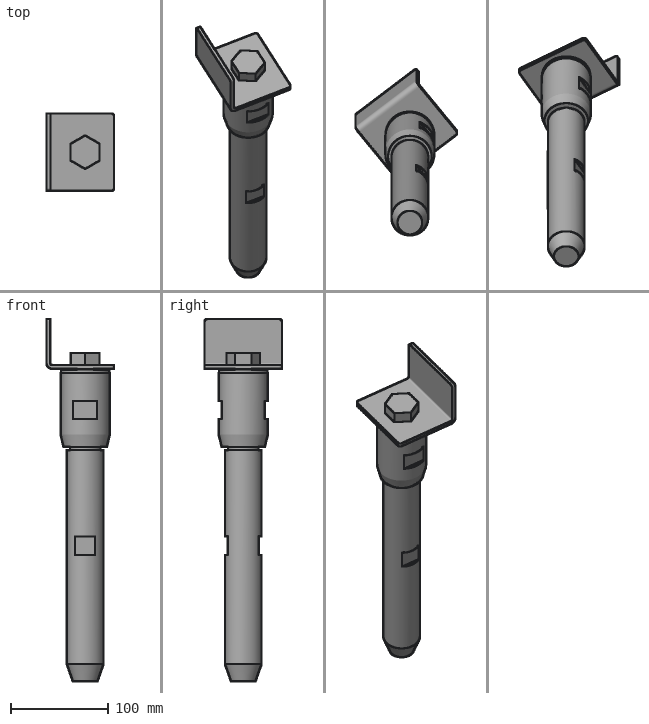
import cadquery as cq

total_height = 373.3
bracket_bottom = 321.8
washer_gap = 0.7
washer_thickness = 3.5
sleeve_bottom = 241.5
rod_top = 238.0

bracket_length = 69.8
bracket_width = 80.0
sheet_thickness = 4.0
bend_inner_radius = 2.0
corner_radius = 3.0
axis_to_flange = 40.0

head_across_flats = 30.0
head_height = 12.5
bolt_diameter = 18.3
bolt_depth_in_rod = 37.5

washer_diameter = 50.0
spacer_diameter = 31.7

sleeve_diameter = 50.8
sleeve_end_diameter = 44.8
sleeve_taper_height = 12.5
sleeve_across_flats = 44.5
sleeve_flat_bottom = 270.3
sleeve_flat_height = 18.3

rod_diameter = 38.0
rod_tip_diameter = 25.5
rod_taper_height = 18.0
rod_across_flats = 32.0
rod_flat_bottom = 130.3
rod_flat_height = 19.0

bracket_top = bracket_bottom + sheet_thickness
washer_top = bracket_bottom - washer_gap
sleeve_top = washer_top - washer_thickness
bolt_bottom = rod_top - bolt_depth_in_rod


def cylinder(diameter, bottom, top):
    """Vertical cylinder on the common axis."""
    return cq.Workplane("XY").workplane(offset=bottom).circle(diameter / 2).extrude(top - bottom)


def tapered_cylinder(diameter, end_diameter, taper_height, bottom, top):
    """Vertical cylinder that narrows to end_diameter at its lower end."""
    half_profile = [
        (0, bottom),
        (end_diameter / 2, bottom),
        (diameter / 2, bottom + taper_height),
        (diameter / 2, top),
        (0, top),
    ]
    return cq.Workplane("XZ").polyline(half_profile).close().revolve(360, (0, 0, 0), (0, 1, 0))


def cut_wrench_flats(body, diameter, across_flats, bottom, height):
    """Cut two parallel flats, facing -Y and +Y, into a round body."""
    for side in (-1, 1):
        cutter = cq.Workplane("XY").box(diameter, diameter, height, centered=(True, True, False))
        body = body.cut(cutter.translate((0, side * (across_flats + diameter) / 2, bottom)))
    return body


bolt_shank = cylinder(bolt_diameter, bolt_bottom, bracket_top)


def make_bracket():
    left = -axis_to_flange
    base = cq.Workplane("XY").box(bracket_length, bracket_width, sheet_thickness, centered=(False, True, False))
    flange_height = total_height - bracket_bottom
    flange = cq.Workplane("XY").box(sheet_thickness, bracket_width, flange_height, centered=(False, True, False))
    bracket = base.union(flange).translate((left, 0, bracket_bottom))

    inner_corner = cq.selectors.NearestToPointSelector((left + sheet_thickness, 0, bracket_top))
    bracket = bracket.edges(inner_corner).fillet(bend_inner_radius)
    outer_corner = cq.selectors.NearestToPointSelector((left, 0, bracket_bottom))
    bracket = bracket.edges(outer_corner).fillet(bend_inner_radius + sheet_thickness)

    bracket = bracket.faces(">Z").edges("|X").fillet(corner_radius)
    bracket = bracket.faces(">X").edges("|Z").fillet(corner_radius)
    return bracket.cut(bolt_shank)


def make_bolt():
    head = (
        cq.Workplane("XY")
        .workplane(offset=bracket_top)
        .polygon(6, head_across_flats, circumscribed=True)
        .extrude(head_height)
    )
    return head.union(bolt_shank)


def make_washer():
    return cylinder(washer_diameter, sleeve_top, washer_top).cut(bolt_shank)


def make_sleeve():
    sleeve = tapered_cylinder(
        sleeve_diameter, sleeve_end_diameter, sleeve_taper_height, sleeve_bottom, sleeve_top
    )
    sleeve = cut_wrench_flats(
        sleeve, sleeve_diameter, sleeve_across_flats, sleeve_flat_bottom, sleeve_flat_height
    )
    return sleeve.cut(bolt_shank)


def make_spacer():
    return cylinder(spacer_diameter, rod_top, sleeve_bottom).cut(bolt_shank)


def make_rod():
    rod = tapered_cylinder(rod_diameter, rod_tip_diameter, rod_taper_height, 0, rod_top)
    rod = cut_wrench_flats(rod, rod_diameter, rod_across_flats, rod_flat_bottom, rod_flat_height)
    return rod.cut(bolt_shank)


bracket = make_bracket()
bolt = make_bolt()
washer = make_washer()
sleeve = make_sleeve()
spacer = make_spacer()
rod = make_rod()

result = cq.Compound.makeCompound(
    [bracket.val(), bolt.val(), washer.val(), sleeve.val(), spacer.val(), rod.val()]
)